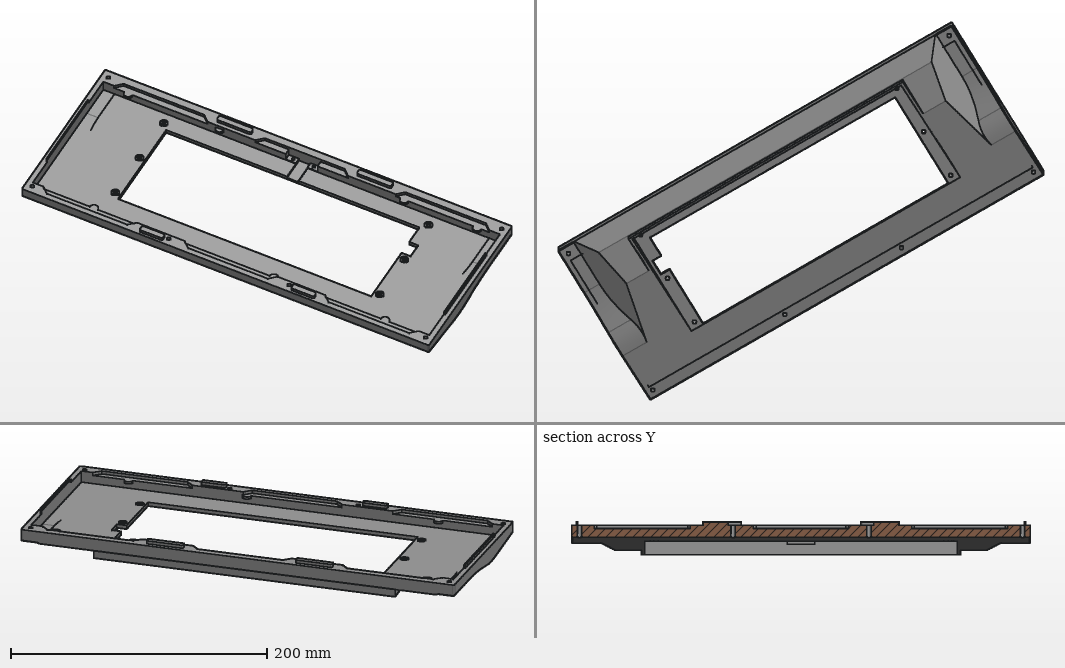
import cadquery as cq
import math

WIDTH = 358.0
DEPTH = 141.5
HEIGHT = 25.8
RIM_Z = 23.3
CORNER_RADIUS = 1.0
BOTTOM_CHAMFER = 0.7
HALF_WIDTH = WIDTH / 2
HALF_DEPTH = DEPTH / 2

TILT = math.radians(6.6)
FOOT_REAR_Y = 54.0
FOOT_WIDTH = 249.3
FOOT_ROOT_Z = 9.0
BELLY_Z = 3.5
REAR_BREAK = (55.0, 6.8)
REAR_EDGE_Z = 13.3

UNDERCUT_INNER_X = 145.0
UNDERCUT_OUTER_X = 164.8
UNDERCUT_EDGE_Z = 13.5
UNDERCUT_ARC_Y = 31.0
UNDERCUT_RADIUS = 197.0
UNDERCUT_ARC_RUN = 36.5

FLOOR_Z = 14.0
TRAY_HALF_WIDTH = 174.5
TRAY_REAR_Y = 58.7
TRAY_FRONT_Y = -61.0

LEDGE_Z = 20.8
LEDGE_SLANT = 5.7
LEDGE_DEPTH = 5.5
END_LEDGE_X = 124.0
LEDGE_SPANS = [(-END_LEDGE_X, 82.5), (0, 81.5), (END_LEDGE_X, 82.5)]

TAB_DIAMETER = 7.0
TAB_THICKNESS = 1.8
REAR_TAB_X = [-152.5, -72.0, 90.3, 154.5]
FRONT_TAB_X = [-120.7, 37.5, 135.5]

PAD_OUTER_X = 76.5
PAD_WIDTH = 4.5
PAD_RADIUS = 1.0
REAR_PAD_LENGTH = 30.0
REAR_PAD_Y = 64.5
FRONT_PAD_LENGTH = 20.0
FRONT_PAD_Y = -66.3
SIDE_PAD_LENGTH = 70.2
SIDE_PAD_WIDTH = 1.0
SIDE_PAD_Y = -1.0

RIM_HOLE_DIAMETER = 3.0
RIM_HOLE_Y = 64.5
CORNER_HOLE_X = 173.0
FRONT_HOLE_X = 53.0

WINDOW_HALF_WIDTH = 111.5
WINDOW_REAR_Y = 43.7
WINDOW_FRONT_Y = -38.0
NOTCH_DEPTH = 8.0
NOTCH_FRONT_Y = 13.5
NOTCH_REAR_Y = 26.5

RECESS_HALF_WIDTH = 122.0
RECESS_CEILING_Z = 10.7
RECESS_REAR_Y = 52.3
POCKET_WIDTH = 21.5
POCKET_HEIGHT = 2.5
POCKET_DEPTH = 1.8

SCREW_X = 116.5
SCREW_Y = 8.2
SCREW_PITCH = 41.2
SCREW_HOLE_DIAMETER = 3.0
SCREW_HEAD_DIAMETER = 6.5
SCREW_HEAD_DEPTH = 1.0

SEAT_HALF_WIDTH = 14.0
SEAT_Z = 14.7
SEAT_HOLE_X = 9.0
SEAT_HOLE_Y = 62.0
SEAT_HOLE_DIAMETER = 2.2
SEAT_HOLE_DEPTH = 3.0
CHANNEL_HALF_WIDTH = 5.0
CHANNEL_Z = 12.5


def slope_z(y):
    """Height of the tilted underside at depth y."""
    return (FOOT_REAR_Y - y) * math.tan(TILT)


def box(x0, x1, y0, y1, z0, z1):
    return cq.Workplane("XY").box(x1 - x0, y1 - y0, z1 - z0, centered=False).translate((x0, y0, z0))


def disc(x, y, diameter, z0, z1):
    return cq.Workplane("XY", origin=(x, y, z0)).circle(diameter / 2).extrude(z1 - z0)


def side_prism(points, width):
    """A (Y, Z) outline extruded symmetrically along X."""
    return cq.Workplane("YZ").polyline(points).close().extrude(width / 2, both=True)


def make_body():
    slope_end_y = FOOT_REAR_Y - BELLY_Z / math.tan(TILT)
    shell = side_prism([
        (-HALF_DEPTH, RIM_Z),
        (-HALF_DEPTH, slope_z(-HALF_DEPTH)),
        (slope_end_y, BELLY_Z),
        REAR_BREAK,
        (HALF_DEPTH, REAR_EDGE_Z),
        (HALF_DEPTH, RIM_Z),
    ], WIDTH).edges("|Z").fillet(CORNER_RADIUS)
    foot = side_prism([
        (slope_end_y, BELLY_Z),
        (FOOT_REAR_Y, 0),
        (FOOT_REAR_Y, FOOT_ROOT_Z),
        (slope_end_y, FOOT_ROOT_Z),
    ], FOOT_WIDTH)
    return shell.union(foot)


def make_undercut():
    """Space under the right end: below a sloping facet and below a gentle arc toward the front."""
    facet = (
        cq.Workplane("XZ")
        .polyline([
            (UNDERCUT_INNER_X, 0),
            (UNDERCUT_INNER_X, BELLY_Z),
            (UNDERCUT_OUTER_X, UNDERCUT_EDGE_Z),
            (HALF_WIDTH, UNDERCUT_EDGE_Z),
            (HALF_WIDTH, 0),
        ])
        .close()
        .extrude(HALF_DEPTH, both=True)
    )

    def arc_point(run):
        drop = UNDERCUT_RADIUS - math.sqrt(UNDERCUT_RADIUS**2 - run**2)
        return (UNDERCUT_ARC_Y - run, UNDERCUT_EDGE_Z - drop)

    arc_end_y, arc_end_z = arc_point(UNDERCUT_ARC_RUN)
    chord_slope = math.tan((math.asin(UNDERCUT_ARC_RUN / UNDERCUT_RADIUS) - TILT) / 2)
    blend_run = (arc_end_z - slope_z(arc_end_y)) / (chord_slope + math.tan(TILT))
    blend_end_y = arc_end_y - blend_run

    below_arc = (
        cq.Workplane("YZ")
        .moveTo(HALF_DEPTH, 0)
        .lineTo(HALF_DEPTH, UNDERCUT_EDGE_Z)
        .lineTo(UNDERCUT_ARC_Y, UNDERCUT_EDGE_Z)
        .threePointArc(arc_point(UNDERCUT_ARC_RUN / 2), (arc_end_y, arc_end_z))
        .tangentArcPoint((blend_end_y, slope_z(blend_end_y)), relative=False)
        .lineTo(blend_end_y, 0)
        .close()
        .extrude(HALF_WIDTH)
    )
    return facet.intersect(below_arc)


def make_ledge(center_x, length, wall_y, depth):
    """Trapezoid pocket in the rim; a negative depth runs toward the front."""
    half = length / 2
    return (
        cq.Workplane("XY", origin=(center_x, wall_y, LEDGE_Z))
        .polyline([
            (-half, 0),
            (-half + LEDGE_SLANT, depth),
            (half - LEDGE_SLANT, depth),
            (half, 0),
        ])
        .close()
        .extrude(RIM_Z - LEDGE_Z)
    )


def make_tab(x, wall_y):
    return disc(x, wall_y, TAB_DIAMETER, LEDGE_Z - TAB_THICKNESS, LEDGE_Z)


def make_pad(center_x, center_y, length):
    return (
        cq.Workplane("XY", origin=(center_x, center_y, RIM_Z))
        .rect(length, PAD_WIDTH)
        .extrude(HEIGHT - RIM_Z)
        .edges("|Z")
        .fillet(PAD_RADIUS)
    )


case = make_body()

undercut = make_undercut()
case = case.cut(undercut).cut(undercut.mirror("YZ"))

below_rim = cq.selectors.BoxSelector((-WIDTH, -DEPTH, -3.5), (WIDTH, DEPTH, RIM_Z - 3.5))
lower_outline = case.faces("<X or >X or <Y").edges("not |Z").edges(below_rim)
case = lower_outline.chamfer(BOTTOM_CHAMFER)

case = case.cut(box(-TRAY_HALF_WIDTH, TRAY_HALF_WIDTH, TRAY_FRONT_Y, TRAY_REAR_Y, FLOOR_Z, RIM_Z))
for ledge_x, ledge_length in LEDGE_SPANS:
    case = case.cut(make_ledge(ledge_x, ledge_length, TRAY_REAR_Y, LEDGE_DEPTH))
    case = case.cut(make_ledge(ledge_x, ledge_length, TRAY_FRONT_Y, -LEDGE_DEPTH))

for tab_x in REAR_TAB_X:
    case = case.union(make_tab(tab_x, TRAY_REAR_Y))
for tab_x in FRONT_TAB_X:
    case = case.union(make_tab(tab_x, TRAY_FRONT_Y))

case = case.cut(box(
    -RECESS_HALF_WIDTH, RECESS_HALF_WIDTH, WINDOW_FRONT_Y, RECESS_REAR_Y, 0, RECESS_CEILING_Z,
))
case = case.cut(box(
    -POCKET_WIDTH / 2, POCKET_WIDTH / 2, RECESS_REAR_Y, RECESS_REAR_Y + POCKET_DEPTH,
    RECESS_CEILING_Z - POCKET_HEIGHT, RECESS_CEILING_Z,
))
case = case.cut(box(
    -WINDOW_HALF_WIDTH, WINDOW_HALF_WIDTH, WINDOW_FRONT_Y, WINDOW_REAR_Y, 0, FLOOR_Z,
))
case = case.cut(box(
    WINDOW_HALF_WIDTH, WINDOW_HALF_WIDTH + NOTCH_DEPTH, NOTCH_FRONT_Y, NOTCH_REAR_Y, 0, FLOOR_Z,
))

seat_rear_y = TRAY_REAR_Y + LEDGE_DEPTH
case = case.cut(box(-SEAT_HALF_WIDTH, SEAT_HALF_WIDTH, TRAY_REAR_Y, seat_rear_y, SEAT_Z, RIM_Z))
case = case.cut(box(
    -CHANNEL_HALF_WIDTH, CHANNEL_HALF_WIDTH, WINDOW_REAR_Y, seat_rear_y, CHANNEL_Z, RIM_Z,
))
for side in (-1, 1):
    hole_x = side * SEAT_HOLE_X
    case = case.cut(disc(hole_x, SEAT_HOLE_Y, SEAT_HOLE_DIAMETER, SEAT_Z - SEAT_HOLE_DEPTH, SEAT_Z))

for side in (-1, 1):
    for row in (-1, 0, 1):
        x = side * SCREW_X
        y = SCREW_Y + row * SCREW_PITCH
        case = case.cut(disc(x, y, SCREW_HOLE_DIAMETER, 0, FLOOR_Z))
        case = case.cut(disc(x, y, SCREW_HEAD_DIAMETER, FLOOR_Z - SCREW_HEAD_DEPTH, FLOOR_Z))

for side in (-1, 1):
    for x, y in [
        (side * CORNER_HOLE_X, RIM_HOLE_Y),
        (side * CORNER_HOLE_X, -RIM_HOLE_Y),
        (side * FRONT_HOLE_X, -RIM_HOLE_Y),
    ]:
        case = case.cut(disc(x, y, RIM_HOLE_DIAMETER, 0, RIM_Z))

for side in (-1, 1):
    rear_pad_x = side * (PAD_OUTER_X - REAR_PAD_LENGTH / 2)
    front_pad_x = side * (PAD_OUTER_X - FRONT_PAD_LENGTH / 2)
    side_pad_x = side * (TRAY_HALF_WIDTH + SIDE_PAD_WIDTH / 2)
    case = case.union(make_pad(rear_pad_x, REAR_PAD_Y, REAR_PAD_LENGTH))
    case = case.union(make_pad(front_pad_x, FRONT_PAD_Y, FRONT_PAD_LENGTH))
    case = case.union(
        cq.Workplane("XY", origin=(side_pad_x, SIDE_PAD_Y, RIM_Z))
        .rect(SIDE_PAD_WIDTH, SIDE_PAD_LENGTH)
        .extrude(HEIGHT - RIM_Z)
    )

result = case